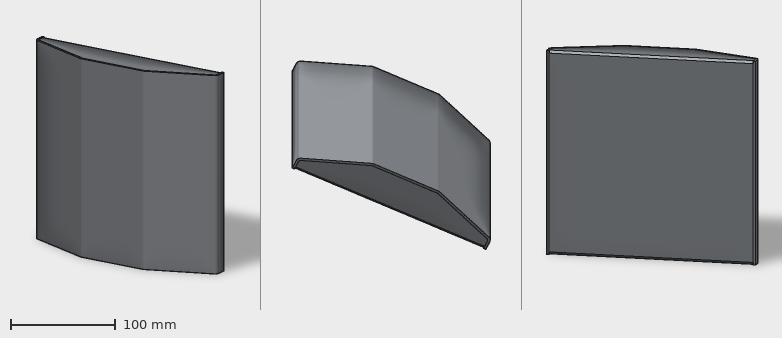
import cadquery as cq

width = 205.0
depth = 37.5
height = 200.0

side_depth = 12.0
front_width = 70.3
wall = 2.5
outer_radius = 5.0
inner_radius = outer_radius - wall

bevel = wall


def faceted_block():
    """Solid block with the sharp-cornered outer profile, open side at Y = 0."""
    outline = [
        (-width / 2, 0),
        (-width / 2, -side_depth),
        (-front_width / 2, -depth),
        (front_width / 2, -depth),
        (width / 2, -side_depth),
        (width / 2, 0),
    ]
    return cq.Workplane("XY").workplane(offset=-height / 2).polyline(outline).close().extrude(height)


def inner_block():
    """Space inside the shell: the profile offset inward, running through the back plane."""
    profile = faceted_block().faces("<Z").wires().val()
    inset = profile.offset2D(-wall)[0]
    block = cq.Workplane("XY").add(inset).toPending().extrude(height)
    back_strip = cq.Workplane("XY").box(width - 2 * wall, wall, height).translate((0, -wall / 2, 0))
    return block.union(back_strip, clean=True)


def round_corners(block, radius):
    """Round the four upright corners in front of the back plane."""
    return block.edges("|Z").edges(cq.selectors.BoxSelector(
        (-width, -2 * depth, -height), (width, -side_depth / 2, height)
    )).fillet(radius)


def make_core():
    """Solid filling of the shell, bevelled along its top and bottom back edges."""
    core = round_corners(inner_block(), inner_radius)
    return core.faces(">Y").edges("|X").chamfer(bevel)


def make_shell():
    """Bent sheet around the sides and front, open at the back, top and bottom."""
    outside = round_corners(faceted_block(), outer_radius)
    return outside.cut(round_corners(inner_block(), inner_radius))


shell = make_shell()
core = make_core()

result = cq.Compound.makeCompound([shell.val(), core.val()])